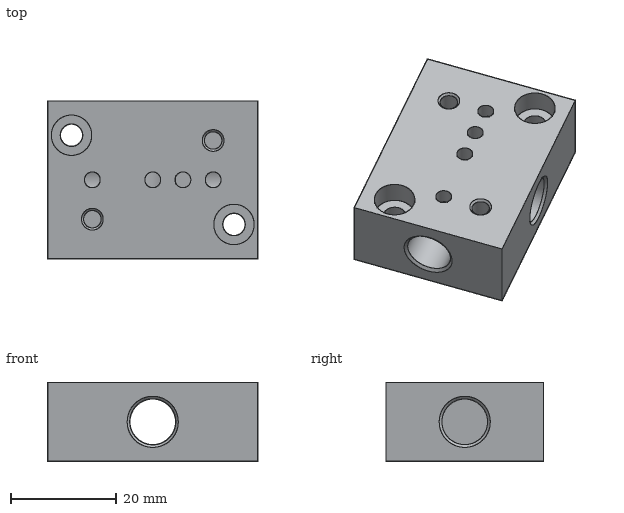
import cadquery as cq

length = 40.0
width = 30.0
height = 15.0

port_diameter = 8.7
port_chamfer = 0.5
end_port_depth = 12.0

mount_x = 15.45
mount_y = 8.5
mount_diameter = 4.2
counterbore_diameter = 7.7
counterbore_depth = 4.6

screw_x = 11.5
screw_y = 7.5
screw_diameter = 3.3
screw_chamfer = 0.4
screw_depth = 8.0

passage_diameter = 3.0
passage_depth = height / 2
passage_x_positions = (-screw_x, 0, screw_x / 2, screw_x)


def chamfered_bore(origin, direction, diameter, depth, chamfer):
    """Cutter for a bore with a 45 degree entry chamfer, starting at origin."""
    start = cq.Vector(*origin)
    axis = cq.Vector(*direction)
    bore = cq.Solid.makeCylinder(diameter / 2, depth, start, axis)
    entry = cq.Solid.makeCone(diameter / 2 + chamfer, diameter / 2, chamfer, start, axis)
    return bore.fuse(entry)


result = cq.Workplane("XY").box(length, width, height, centered=(True, True, False))

for side in (-1, 1):
    end_origin = (side * length / 2, 0, height / 2)
    side_origin = (0, side * width / 2, height / 2)
    result = result.cut(
        chamfered_bore(end_origin, (-side, 0, 0), port_diameter, end_port_depth, port_chamfer)
    )
    result = result.cut(
        chamfered_bore(side_origin, (0, -side, 0), port_diameter, width / 2, port_chamfer)
    )

result = (
    result.faces(">Z")
    .workplane(origin=(0, 0, height))
    .pushPoints([(-mount_x, mount_y), (mount_x, -mount_y)])
    .cboreHole(mount_diameter, counterbore_diameter, counterbore_depth)
)

for side in (-1, 1):
    screw_origin = (side * screw_x, side * screw_y, height)
    result = result.cut(
        chamfered_bore(screw_origin, (0, 0, -1), screw_diameter, screw_depth, screw_chamfer)
    )

result = (
    result.faces(">Z")
    .workplane(origin=(0, 0, height))
    .pushPoints([(x, 0) for x in passage_x_positions])
    .hole(passage_diameter, passage_depth)
)